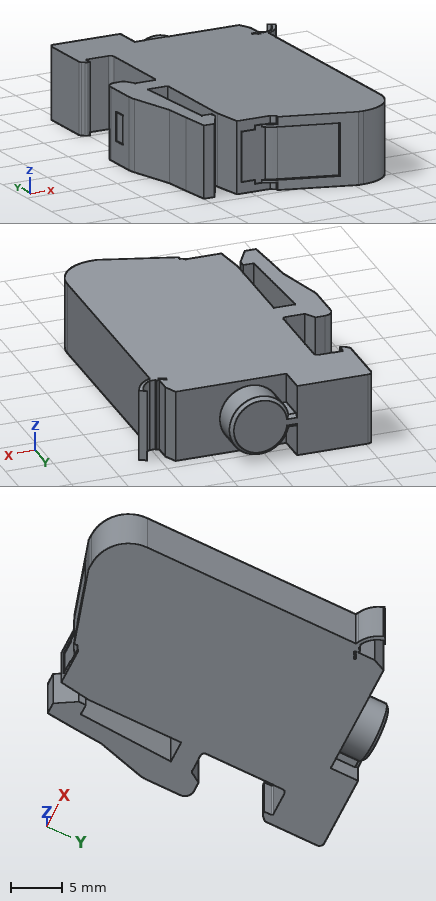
import cadquery as cq

length = 33.45
thickness = 7.5
mid_z = thickness / 2

housing_left = 5.0
housing_right = 21.95
shoulder_y = 30.45
shoulder_right = 20.63
neck_right = 21.2
neck_top = 29.2
neck_bottom = 26.8
taper_top = 6.15
heel_left = 5.5
heel_y = 2.95
nose_radius = 4.08
nose_x = housing_right - nose_radius

notch_left = 9.15
notch_right = 9.65
notch_top = 2.6
notch_middle = (9.4, 2.75)
slope_top = 2.27
slope_end = 17.32
slope_rate = slope_top / (slope_end - notch_right)

foot_left = 1.2
foot_right = 9.1
foot_bottom = 27.62
foot_corner_radius = 0.55
lip_right = 2.1
lip_bottom = 26.72
lip_chamfer = 0.5
lip_radius = 0.4
lip_root_radius = 0.17
rail_corner_radius = 0.4

arm_top = 19.63
arm_top_right = 1.97
arm_corner_radius = 1.0
bridge_left = 2.68
bridge_top = 18.53
bridge_bottom = 16.22
arm_bend_y = 14.5
arm_bend_radius = 3.35
arm_elbow_x = 1.45
arm_elbow_y = 9.3
arm_knee_x = 1.67
arm_knee_y = 6.35
arm_inner_top = 2.78
arm_inner_bottom = 3.3
tip_left = 1.97
tip_right = 3.15
tip_y = 3.2
barb_x = 4.4
barb_y = 5.4

mark_bottom = 16.15
mark_height = 1.47
mark_width = 2.98
mark_depth = 0.1

hook_tip_outer = (23.9, 28.95)
hook_tip_inner = (23.17, 29.4)
hook_outer_bottom = (22.17, 26.92)
hook_outer_mid = (23.2, 27.75)
hook_outer_top = (23.8, 28.85)
hook_inner_top = (23.45, 29.1)
hook_inner_mid = (23.0, 28.1)
hook_inner_bottom = (22.15, 27.3)
hook_valley_left = 21.57
hook_root_top = 27.5
hook_root_width = 0.27
slit_left = 20.43
slit_right = 21.17
slit_top = 27.5
slit_step = 0.25
slit_gap = 0.2

screw_radius = 3.1
screw_x = 12.9
screw_chamfer = 0.35
web_half_thickness = 0.67

recess_floor = 3.05
recess_left = 6.02
recess_width = 5.15
ear_left = 7.5
ear_width = 5.95
ramp_left = 8.25
window_width = 5.42
window_depth = 0.37
window_ramp_left = 8.7
window_left = 9.75
window_right = 15.6


def slope_y(x):
    """Height of the sloped underside at x."""
    return (slope_end - x) * slope_rate


def centred_slab(profile, width):
    """Extrude a closed XY profile by width, centred on the mid-plane."""
    return profile.extrude(width / 2, both=True).translate((0, 0, mid_z))


def centred_box(x_min, x_max, y_min, y_max, width):
    """Box centred on the mid-plane."""
    profile = cq.Workplane("XY").moveTo(x_min, y_min).lineTo(x_max, y_min)
    return centred_slab(profile.lineTo(x_max, y_max).lineTo(x_min, y_max).close(), width)


def round_corner(body, x, y, radius):
    """Fillet the Z-parallel edge through (x, y)."""
    return body.edges(cq.selectors.NearestToPointSelector((x, y, mid_z))).fillet(radius)


def housing():
    diagonal = 0.5 ** 0.5
    nose_middle = (nose_x + nose_radius * diagonal, nose_radius * (1 - diagonal))
    profile = (
        cq.Workplane("XY")
        .moveTo(housing_left, shoulder_y)
        .lineTo(housing_left, taper_top)
        .lineTo(heel_left, heel_y)
        .lineTo(notch_left, heel_y)
        .threePointArc(notch_middle, (notch_right, notch_top))
        .lineTo(notch_right, slope_top)
        .lineTo(slope_end, 0)
        .lineTo(nose_x, 0)
        .threePointArc(nose_middle, (housing_right, nose_radius))
        .lineTo(housing_right, neck_bottom)
        .lineTo(neck_right, neck_bottom)
        .lineTo(neck_right, neck_top)
        .lineTo(shoulder_right, shoulder_y)
        .close()
    )
    return centred_slab(profile, thickness)


def rail_foot():
    profile = cq.Workplane("XY").polyline([
        (foot_left, length),
        (foot_right, length),
        (foot_right, foot_bottom),
        (lip_right, foot_bottom),
        (lip_right, lip_bottom),
        (foot_left + lip_chamfer, lip_bottom),
        (foot_left, lip_bottom + lip_chamfer),
    ]).close()
    return centred_slab(profile, thickness)


def latch_arm():
    profile = cq.Workplane("XY").polyline([
        (0, arm_top),
        (arm_top_right, arm_top),
        (bridge_left, bridge_top),
        (housing_left, bridge_top),
        (housing_left, bridge_bottom),
        (arm_inner_top, bridge_bottom),
        (arm_inner_bottom, taper_top),
        (barb_x, taper_top),
        (barb_x, barb_y),
        (tip_right, tip_y),
        (tip_left, tip_y),
        (arm_knee_x, arm_knee_y),
        (arm_elbow_x, arm_elbow_y),
        (0, arm_bend_y),
    ]).close()
    return centred_slab(profile, thickness)


def spring_hook():
    profile = (
        cq.Workplane("XY")
        .moveTo(neck_right, neck_bottom)
        .lineTo(housing_right, neck_bottom)
        .lineTo(*hook_outer_bottom)
        .threePointArc(hook_outer_mid, hook_outer_top)
        .lineTo(*hook_tip_outer)
        .lineTo(*hook_tip_inner)
        .lineTo(*hook_inner_top)
        .threePointArc(hook_inner_mid, hook_inner_bottom)
        .lineTo(hook_valley_left, hook_inner_bottom[1])
        .lineTo(neck_right + hook_root_width, hook_root_top)
        .lineTo(neck_right, hook_root_top)
        .close()
    )
    return centred_slab(profile, thickness)


def hook_slit():
    upper = [
        (slit_left, slit_top),
        (slit_left + slit_step, slit_top),
        (slit_right - slit_step, slit_top - slit_step),
        (slit_right, slit_top - slit_step),
    ]
    lower = [(x, y - slit_gap) for x, y in reversed(upper)]
    return centred_slab(cq.Workplane("XY").polyline(upper + lower).close(), thickness)


def screw_head():
    head = (
        cq.Workplane("XZ", origin=(screw_x, shoulder_y, mid_z))
        .circle(screw_radius)
        .extrude(shoulder_y - length)
    )
    web = centred_box(foot_right - screw_chamfer, screw_x, shoulder_y, length, 2 * web_half_thickness)
    return head.union(web).faces(">Y").chamfer(screw_chamfer)


def cover_pocket():
    plate = centred_box(recess_left, notch_right, 0, recess_floor, recess_width)
    return plate.union(centred_box(ear_left, notch_right, 0, recess_floor, ear_width))


def cover_ramp():
    profile = (
        cq.Workplane("XY")
        .moveTo(slope_end, 0)
        .lineTo(notch_right, slope_top)
        .tangentArcPoint((ramp_left, recess_floor), relative=False)
        .lineTo(notch_right, recess_floor)
        .close()
    )
    return centred_slab(profile, ear_width)


def cover_window():
    profile = (
        cq.Workplane("XY")
        .moveTo(window_right, 0)
        .lineTo(window_right, slope_y(window_right) + window_depth)
        .lineTo(window_left, slope_y(window_left) + window_depth)
        .tangentArcPoint((window_ramp_left, recess_floor), relative=False)
        .lineTo(ramp_left, recess_floor)
        .lineTo(ramp_left, 0)
        .close()
    )
    return centred_slab(profile, window_width)


result = housing().union(rail_foot()).union(latch_arm())
for corner_x, corner_y, corner_radius in [
    (foot_left, length, foot_corner_radius),
    (foot_left, lip_bottom + lip_chamfer, lip_radius),
    (foot_left + lip_chamfer, lip_bottom, lip_radius),
    (lip_right, foot_bottom, lip_root_radius),
    (housing_left, foot_bottom, rail_corner_radius),
    (housing_left, bridge_top, rail_corner_radius),
    (0, arm_top, arm_corner_radius),
    (0, arm_bend_y, arm_bend_radius),
]:
    result = round_corner(result, corner_x, corner_y, corner_radius)

result = result.union(spring_hook()).cut(hook_slit()).union(screw_head())

result = result.cut(cover_pocket()).union(cover_ramp()).cut(cover_window())

result = result.cut(centred_box(0, mark_depth, mark_bottom, mark_bottom + mark_height, mark_width))